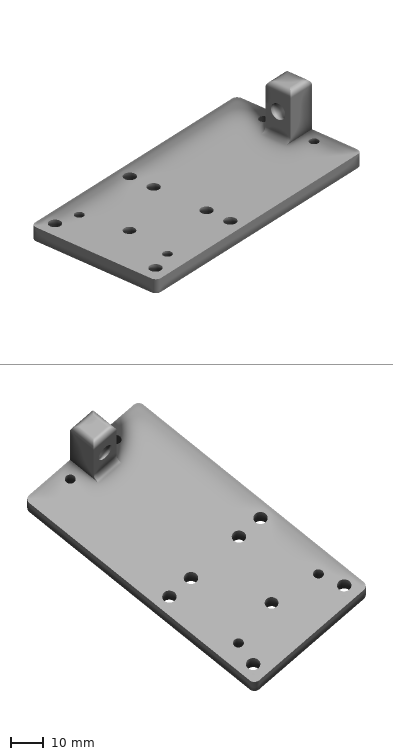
import cadquery as cq

plate_width = 50.0
plate_length = 97.5
plate_thickness = 5.0
corner_radius = 2.0

total_height = 23.0
post_side = 10.0
post_top_radius = 2.0
post_foot_radius = 2.0
post_hole_diameter = 5.7
post_hole_height = 14.0

small_diameter = 3.3
center_diameter = 4.2
large_diameter = 4.4

outer_offset = 20.0
inner_offset = 10.5
front_small_offset = 17.55
back_small_offset = 10.0
front_row_distance = 5.5
front_small_distance = 14.0
center_distance = 17.0
middle_row_distance = 40.95
back_row_distance = 5.0

front_y = -plate_length / 2
back_y = plate_length / 2
post_front_y = back_y - post_side


def make_plate():
    plate = cq.Workplane("XY").box(
        plate_width, plate_length, plate_thickness, centered=(True, True, False)
    )
    return plate.edges("|Z").fillet(corner_radius)


def make_post():
    """Square post with rounded top edges and a cross hole along Y."""
    post = (
        cq.Workplane("XY")
        .center(0, back_y - post_side / 2)
        .rect(post_side, post_side)
        .extrude(total_height)
        .faces(">Z")
        .edges()
        .fillet(post_top_radius)
    )
    cross_hole = (
        cq.Workplane("XZ", origin=(0, back_y, post_hole_height))
        .circle(post_hole_diameter / 2)
        .extrude(post_side)
    )
    return post.cut(cross_hole)


def make_post_foot():
    """Concave fillet strip between the front of the post and the plate."""
    top_z = plate_thickness + post_foot_radius
    toe_y = post_front_y - post_foot_radius
    block = (
        cq.Workplane("YZ", origin=(-post_side / 2, 0, 0))
        .moveTo(toe_y, plate_thickness)
        .lineTo(post_front_y, plate_thickness)
        .lineTo(post_front_y, top_z)
        .lineTo(toe_y, top_z)
        .close()
        .extrude(post_side)
    )
    hollow = (
        cq.Workplane("YZ", origin=(-post_side / 2, 0, 0))
        .center(toe_y, top_z)
        .circle(post_foot_radius)
        .extrude(post_side)
    )
    return block.cut(hollow)


def mirrored_pair(offset, y):
    return [(-offset, y), (offset, y)]


def plate_holes(diameter, points):
    return cq.Workplane("XY").pushPoints(points).circle(diameter / 2).extrude(plate_thickness)


large_points = (
    mirrored_pair(outer_offset, front_y + front_row_distance)
    + mirrored_pair(outer_offset, front_y + middle_row_distance)
    + mirrored_pair(inner_offset, front_y + middle_row_distance)
)
small_points = (
    mirrored_pair(front_small_offset, front_y + front_small_distance)
    + mirrored_pair(back_small_offset, back_y - back_row_distance)
)
center_points = [(0, front_y + center_distance)]

result = make_plate().union(make_post()).union(make_post_foot())
for diameter, points in (
    (large_diameter, large_points),
    (small_diameter, small_points),
    (center_diameter, center_points),
):
    result = result.cut(plate_holes(diameter, points))